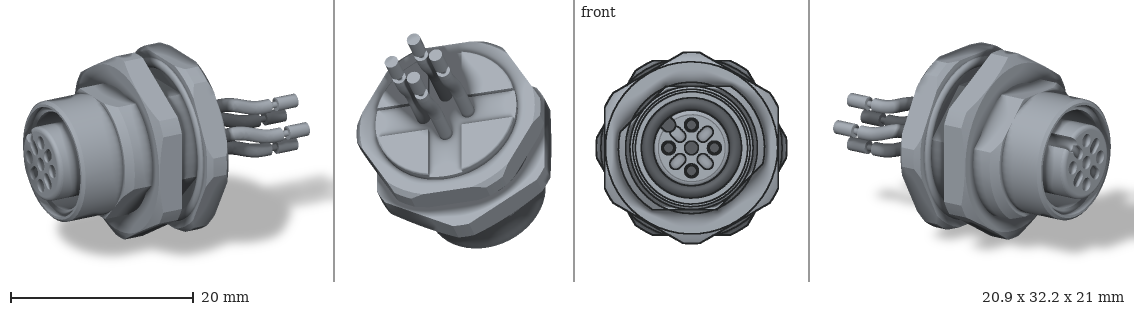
import cadquery as cq
import math


AXIS = cq.Vector(0, 1, 0)

INSERT_FACE = 0.0
SHELL_FACE = 1.45
BODY_FACE = 6.5
NUT_FACE = 9.52
NUT_BACK = 12.35
FLANGE_FACE = 15.3
FLANGE_BACK = 18.0
COLLAR_BACK = 19.1
BEND_START = 22.65
BEND_END = 28.2
NECK_START = 28.87
NECK_END = 29.7
WIRE_END = 32.15

SHELL_RADIUS = 13.5 / 2
SHELL_CHAMFER = 0.32
MOUTH_RADIUS = 12.3 / 2
MOUTH_DEPTH = 0.8
BORE_RADIUS = 11.0 / 2
SEAL_CREST = 9.0

INSERT_RADIUS = 4.15
INSERT_FILLET = 0.48
PIN_OFFSET = 2.5
PIN_HOLE_DIAMETER = 1.5
PIN_HOLE_DEPTH = 3.2
CONTACT_BORE_DIAMETER = 1.15
CONTACT_BORE_DEPTH = 6.43
KEY_RADIUS = 1.5 / 2
KEY_OFFSET = 3.55
SLOT_WIDTH = 1.25
SLOT_INNER = 1.15
SLOT_OUTER = 3.1
SLOT_DEPTH = 0.48

BODY_RADIUS = 16.0 / 2
BODY_CHAMFER = 0.77
FLAT_DISTANCE = SHELL_RADIUS
FLAT_ANGLES = (90, 135, 270, 315)
COLLAR_FILLET = 0.23
COLLAR_SLOT_WIDTH = 3.75
COLLAR_SLOT_DEPTH = 0.5

FLANGE_CORNER_RADIUS = 20.9 / 2
FLANGE_ACROSS_FLATS = 19.1
FLANGE_CHAMFER = 0.5
NUT_CORNER_RADIUS = 21.0 / 2
NUT_ACROSS_FLATS = 19.03
NUT_BORE_RADIUS = 7.2
NUT_CHAMFER_RADIAL = 1.05
NUT_CHAMFER_AXIAL = 0.48

RING_SECTION_RADIUS = 0.6
RING_RADIUS = 8.6
RING_PROTRUSION = 0.35

WIRE_DIAMETER = 1.5
NECK_DIAMETER = 0.7
WIRE_DROP = 1.2
WIRE_STARTS = ((PIN_OFFSET, 0), (0, PIN_OFFSET), (-PIN_OFFSET, 0), (0, -PIN_OFFSET))


def cylinder(radius, start, end, x=0.0, z=0.0):
    """Cylinder along Y from start to end."""
    return cq.Workplane(cq.Solid.makeCylinder(radius, end - start, cq.Vector(x, start, z), AXIS))


def slab(length, height, start, end):
    """Box centred on the axis, running from start to end along Y."""
    return cq.Workplane("XY").box(length, end - start, height).translate((0, (start + end) / 2, 0))


def turn(angle, solid):
    """Turn a solid about the connector axis, counter-clockwise as seen on the mating face."""
    return solid.rotate((0, 0, 0), (0, 1, 0), -angle)


def hexagon(across_flats, start, end):
    """Hexagonal prism with one pair of flats facing +Z and -Z."""
    corner_diameter = across_flats / math.cos(math.radians(30))
    return cq.Workplane("XZ", origin=(0, end, 0)).polygon(6, corner_diameter).extrude(end - start)


def make_shell_and_insert():
    gap_middle = (INSERT_RADIUS + BORE_RADIUS) / 2
    seal_centre = SEAL_CREST + (BORE_RADIUS - INSERT_RADIUS) / 2
    profile = (
        cq.Workplane("XY")
        .moveTo(0, INSERT_FACE)
        .lineTo(INSERT_RADIUS - INSERT_FILLET, INSERT_FACE)
        .radiusArc((INSERT_RADIUS, INSERT_FACE + INSERT_FILLET), -INSERT_FILLET)
        .lineTo(INSERT_RADIUS, seal_centre)
        .threePointArc((gap_middle, SEAL_CREST), (BORE_RADIUS, seal_centre))
        .lineTo(BORE_RADIUS, SHELL_FACE + MOUTH_DEPTH)
        .lineTo(MOUTH_RADIUS, SHELL_FACE + MOUTH_DEPTH)
        .lineTo(MOUTH_RADIUS, SHELL_FACE)
        .lineTo(SHELL_RADIUS - SHELL_CHAMFER, SHELL_FACE)
        .lineTo(SHELL_RADIUS, SHELL_FACE + SHELL_CHAMFER)
        .lineTo(SHELL_RADIUS, COLLAR_BACK - COLLAR_SLOT_DEPTH)
        .lineTo(0, COLLAR_BACK - COLLAR_SLOT_DEPTH)
        .close()
    )
    return profile.revolve(360, (0, 0, 0), (0, 1, 0))


def make_body():
    """Threaded barrel with wrench flats; a full-round collar remains behind the flange."""
    body = cylinder(BODY_RADIUS, BODY_FACE, COLLAR_BACK)
    body = body.faces("<Y").chamfer(BODY_CHAMFER)
    body = body.faces(">Y").edges().fillet(COLLAR_FILLET)
    block = slab(2 * BODY_RADIUS, 2 * BODY_RADIUS, BODY_FACE, FLANGE_FACE)
    block = block.translate((FLAT_DISTANCE + BODY_RADIUS, 0, 0))
    for angle in FLAT_ANGLES:
        body = body.cut(turn(angle, block))
    slot_length = 3 * BODY_RADIUS
    slot_floor = COLLAR_BACK - COLLAR_SLOT_DEPTH
    body = body.cut(slab(slot_length, COLLAR_SLOT_WIDTH, slot_floor, COLLAR_BACK))
    body = body.cut(slab(COLLAR_SLOT_WIDTH, slot_length, slot_floor, COLLAR_BACK))
    return body.cut(cylinder(BORE_RADIUS, BODY_FACE, FLANGE_FACE))


def make_flange():
    envelope = cylinder(FLANGE_CORNER_RADIUS, FLANGE_FACE, FLANGE_BACK).edges().chamfer(FLANGE_CHAMFER)
    return hexagon(FLANGE_ACROSS_FLATS, FLANGE_FACE, FLANGE_BACK).intersect(envelope)


def make_nut():
    face_radius = NUT_CORNER_RADIUS - NUT_CHAMFER_RADIAL
    envelope = (
        cq.Workplane("XY")
        .moveTo(NUT_BORE_RADIUS, NUT_FACE)
        .lineTo(face_radius, NUT_FACE)
        .lineTo(NUT_CORNER_RADIUS, NUT_FACE + NUT_CHAMFER_AXIAL)
        .lineTo(NUT_CORNER_RADIUS, NUT_BACK)
        .lineTo(NUT_BORE_RADIUS, NUT_BACK)
        .close()
        .revolve(360, (0, 0, 0), (0, 1, 0))
    )
    return turn(90, hexagon(NUT_ACROSS_FLATS, NUT_FACE, NUT_BACK)).intersect(envelope)


def make_sealing_ring():
    centre_y = FLANGE_FACE - RING_PROTRUSION + RING_SECTION_RADIUS
    ring = cq.Solid.makeTorus(RING_RADIUS, RING_SECTION_RADIUS, cq.Vector(0, centre_y, 0), AXIS)
    return cq.Workplane(ring)


def make_wire(x, z):
    """Wire that drops in a smooth S-bend and ends in a necked tip."""
    start = FLANGE_BACK
    path = (
        cq.Workplane("YZ", origin=(x, 0, z))
        .moveTo(start, 0)
        .lineTo(BEND_START, 0)
        .spline([(BEND_END, -WIRE_DROP)], tangents=[(1, 0), (1, 0)], includeCurrent=True)
        .lineTo(NECK_START, -WIRE_DROP)
    )
    wire = cq.Workplane("XZ", origin=(x, start, z)).circle(WIRE_DIAMETER / 2).sweep(path)
    end_z = z - WIRE_DROP
    wire = wire.union(cylinder(NECK_DIAMETER / 2, NECK_START, NECK_END, x, end_z))
    return wire.union(cylinder(WIRE_DIAMETER / 2, NECK_END, WIRE_END, x, end_z))


def cut_insert_face(part):
    """Contact holes, centre hole, diagonal slots and the coding groove."""
    part = part.cut(cylinder(PIN_HOLE_DIAMETER / 2, INSERT_FACE, PIN_HOLE_DEPTH))
    pin_hole = cylinder(PIN_HOLE_DIAMETER / 2, INSERT_FACE, PIN_HOLE_DEPTH, PIN_OFFSET)
    contact_bore = cylinder(CONTACT_BORE_DIAMETER / 2, INSERT_FACE, CONTACT_BORE_DEPTH, PIN_OFFSET)
    pin_hole = pin_hole.union(contact_bore)
    slot = (
        cq.Workplane("XZ", origin=(0, SLOT_DEPTH, 0))
        .center((SLOT_INNER + SLOT_OUTER) / 2, 0)
        .slot2D(SLOT_OUTER - SLOT_INNER, SLOT_WIDTH)
        .extrude(SLOT_DEPTH)
    )
    for quarter in range(4):
        part = part.cut(turn(90 * quarter, pin_hole))
        part = part.cut(turn(90 * quarter + 45, slot))
    key_groove = cylinder(KEY_RADIUS, INSERT_FACE, SEAL_CREST, KEY_OFFSET)
    groove_mouth = slab(INSERT_RADIUS - KEY_OFFSET, 2 * KEY_RADIUS, INSERT_FACE, SEAL_CREST)
    groove_mouth = groove_mouth.translate(((INSERT_RADIUS + KEY_OFFSET) / 2, 0, 0))
    return part.cut(turn(135, key_groove.union(groove_mouth)))


result = cut_insert_face(make_shell_and_insert())
for feature in (make_body(), make_flange(), make_nut(), make_sealing_ring()):
    result = result.union(feature)
for wire_x, wire_z in WIRE_STARTS:
    result = result.union(make_wire(wire_x, wire_z))